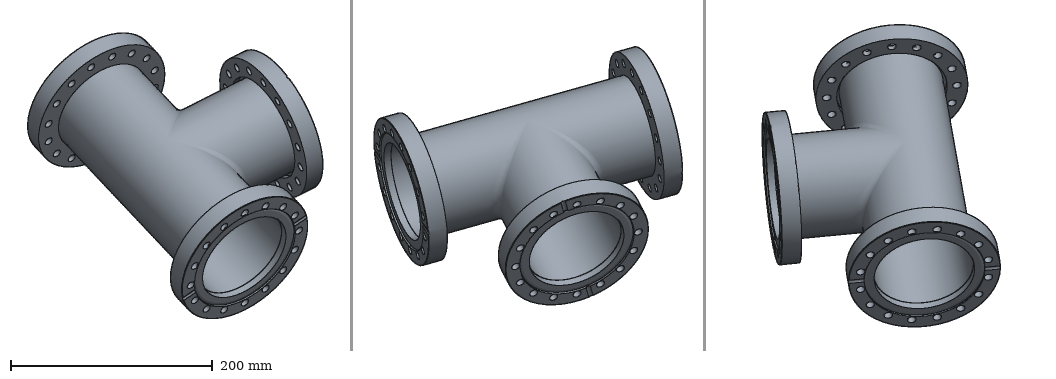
import cadquery as cq
import math

port_reach = 135.0
tube_outer_dia = 104.0
tube_bore_dia = 100.0
crotch_radius = 7.3

flange_dia = 152.0
flange_thickness = 20.0
rim_chamfer = 0.5
bolt_count = 16
bolt_circle_dia = 130.1
bolt_hole_dia = 8.5
bolt_pitch = 360 / bolt_count

flange_bore_dia = 100.5
socket_dia = 104.2
socket_shoulder_depth = 8.6

gasket_recess_dia = 120.7
gasket_recess_depth = 2.0
knife_crest_dia = 115.0
knife_crest_depth = 1.22

leak_groove_width = 4.5
leak_groove_depth = 1.0

insert_dia = 120.5
insert_back_depth = 14.0
ring_seat_dia = 121.2
ring_back_dia = 110.5

tube_end = port_reach - socket_shoulder_depth
half_pitch = math.radians(bolt_pitch / 2)

left_port = cq.Plane(origin=(-port_reach, 0, 0), xDir=(0, 1, 0), normal=(-1, 0, 0))
right_port = cq.Plane(
    origin=(port_reach, 0, 0),
    xDir=(0, math.cos(half_pitch), math.sin(half_pitch)),
    normal=(1, 0, 0),
)
branch_port = cq.Plane(
    origin=(0, port_reach, 0),
    xDir=(math.sin(half_pitch), 0, math.cos(half_pitch)),
    normal=(0, 1, 0),
)


def tee_cylinders(diameter):
    """Run and branch of one diameter, joined into a T."""
    run = cq.Workplane("YZ").circle(diameter / 2).extrude(tube_end, both=True)
    branch = cq.Workplane("XZ").circle(diameter / 2).extrude(-tube_end)
    return run.union(branch)


def make_tee_tube():
    outside = tee_cylinders(tube_outer_dia)
    outside = outside.edges("%ELLIPSE").fillet(crotch_radius)
    return outside.cut(tee_cylinders(tube_bore_dia))


def disc(port, diameter, front_depth, back_depth):
    """Disc on the port axis between two depths below the sealing face."""
    start = port.origin - port.zDir * back_depth
    plane = cq.Plane(origin=start, xDir=port.xDir, normal=port.zDir)
    return cq.Workplane(plane).circle(diameter / 2).extrude(back_depth - front_depth)


def gasket_seat(port):
    """Space in front of the knife edge: a recess whose floor rises to the crest."""
    axial_plane = cq.Plane(origin=port.origin, xDir=port.xDir, normal=-port.yDir)
    return (
        cq.Workplane(axial_plane)
        .lineTo(gasket_recess_dia / 2, 0)
        .lineTo(gasket_recess_dia / 2, -gasket_recess_depth)
        .lineTo(knife_crest_dia / 2, -knife_crest_depth)
        .lineTo(0, -knife_crest_depth)
        .close()
        .revolve(360, (0, 0, 0), (0, 1, 0))
    )


def bolt_holes(port):
    return (
        cq.Workplane(port)
        .polarArray(bolt_circle_dia / 2, bolt_pitch / 2, 360, bolt_count)
        .circle(bolt_hole_dia / 2)
        .extrude(-flange_thickness)
    )


def leak_grooves(port):
    """Round-bottomed channel across the whole sealing face, through the port axis."""
    across_plane = cq.Plane(origin=port.origin, xDir=port.yDir, normal=port.xDir)
    return (
        cq.Workplane(across_plane)
        .moveTo(-leak_groove_width / 2, 0)
        .threePointArc((0, -leak_groove_depth), (leak_groove_width / 2, 0))
        .close()
        .extrude(flange_dia / 2, both=True)
    )


def flange_blank(port):
    """Flange disc with chamfered front rim, bolt holes and leak check grooves."""
    blank = disc(port, flange_dia, 0, flange_thickness)
    blank = blank.faces(cq.selectors.DirectionMinMaxSelector(port.zDir)).chamfer(rim_chamfer)
    return blank.cut(bolt_holes(port)).cut(leak_grooves(port))


def cut_tube_socket(body, port):
    """Bore through the body, widened at the back to receive the tube end."""
    bored = body.cut(disc(port, flange_bore_dia, 0, flange_thickness))
    return bored.cut(disc(port, socket_dia, socket_shoulder_depth, flange_thickness))


def make_fixed_flange(port):
    flange = flange_blank(port).cut(gasket_seat(port))
    return cut_tube_socket(flange, port)


def make_insert(port):
    insert = disc(port, insert_dia, 0, insert_back_depth).cut(gasket_seat(port))
    return cut_tube_socket(insert, port)


def make_loose_ring(port):
    ring = flange_blank(port)
    ring = ring.cut(disc(port, ring_seat_dia, 0, insert_back_depth))
    return ring.cut(disc(port, ring_back_dia, 0, flange_thickness))


tee_tube = make_tee_tube().solids()
fixed_flange = make_fixed_flange(left_port).solids()
rotatable_ports = [right_port, branch_port]
inserts = [make_insert(port).solids().val() for port in rotatable_ports]
loose_rings = [make_loose_ring(port).solids().val() for port in rotatable_ports]

result = cq.Compound.makeCompound([tee_tube.val(), fixed_flange.val(), *inserts, *loose_rings])